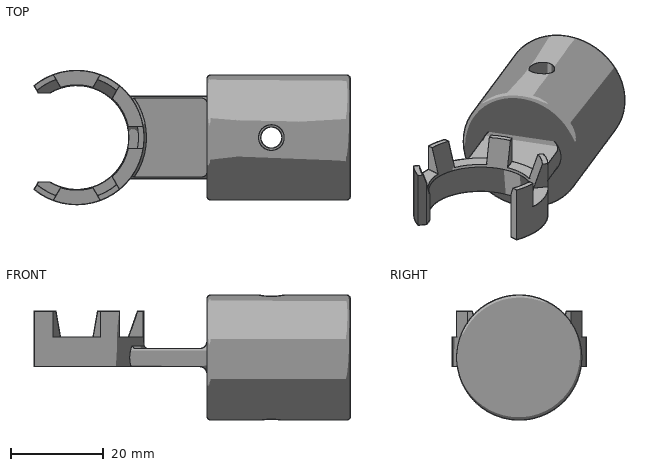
import cadquery as cq
import math

clip_radius = 14.49
clip_bore_radius = 11.2
plate_thickness = 3.95
plate_width = 17.85
plate_side_radius = 5.0
clip_bottom = -plate_thickness / 2
band_height = 6.4
clip_height = 12.0
clip_top = clip_bottom + clip_height

tooth_width = 4.8
tooth_spacing = 60
tooth_tip_inner_radius = 13.3
flare_start_drop = 0.55
mouth_width = 19.1

body_diameter = 27.0
body_length = 30.95
body_start = 28.0
body_edge_radius = 0.9
body_joint_radius = 1.5
clip_joint_size = 0.55

upper_hole_diameter = 5.5
lower_hole_diameter = 4.5
cross_hole_x = body_start + 13.9


def cylinder(radius, bottom, height):
    return cq.Workplane("XY").workplane(offset=bottom).circle(radius).extrude(height)


def make_clip():
    """C-shaped band with five upright teeth; the outermost teeth end the band."""
    band_top = clip_bottom + band_height
    band = cylinder(clip_radius, clip_bottom, band_height)

    teeth = None
    for step in range(-2, 3):
        tooth = (
            cq.Workplane("XY")
            .box(clip_radius, tooth_width, clip_top - band_top, centered=(False, True, False))
            .translate((0, 0, band_top))
            .rotate((0, 0, 0), (0, 0, 1), step * tooth_spacing)
        )
        teeth = tooth if teeth is None else teeth.union(tooth)
    teeth = teeth.intersect(cylinder(clip_radius, band_top, clip_top - band_top))

    flare_start = band_top - flare_start_drop
    flare = (
        cq.Workplane("XZ")
        .moveTo(0, flare_start)
        .lineTo(clip_bore_radius, flare_start)
        .lineTo(tooth_tip_inner_radius, clip_top)
        .lineTo(0, clip_top)
        .close()
        .revolve(360, (0, 0, 0), (0, 1, 0))
    )
    clip = band.union(teeth).cut(flare).cut(cylinder(clip_bore_radius, clip_bottom, clip_height))

    mouth = (
        cq.Workplane("XY")
        .box(2 * clip_radius, mouth_width, clip_height, centered=(False, True, False))
        .translate((-2 * clip_radius, 0, clip_bottom))
    )
    end_angle = math.radians(2 * tooth_spacing)
    side_x = -tooth_width / 2 * math.sin(end_angle)
    side_y = tooth_width / 2 * math.cos(end_angle)
    reach = 2 * clip_radius
    far_x = side_x + reach * math.cos(end_angle)
    far_y = side_y + reach * math.sin(end_angle)
    apex_x = side_x - side_y / math.tan(end_angle)
    wedge = (
        cq.Workplane("XY")
        .workplane(offset=clip_bottom)
        .polyline([(apex_x, 0), (far_x, far_y), (far_x, -far_y)])
        .close()
        .extrude(clip_height)
    )
    return clip.cut(mouth).cut(wedge)


def make_plate():
    """Flat neck with rounded sides that flares up and down into the body and bevels onto the clip."""
    half_thickness = plate_thickness / 2
    joint_start = body_start - body_joint_radius
    joint_z = half_thickness + body_joint_radius
    arc_inset = body_joint_radius * math.sin(math.radians(45))
    arc_mid = (joint_start + arc_inset, joint_z - arc_inset)
    plate = (
        cq.Workplane("XZ")
        .moveTo(0, half_thickness)
        .lineTo(joint_start, half_thickness)
        .threePointArc(arc_mid, (body_start, joint_z))
        .lineTo(body_start, -joint_z)
        .threePointArc((arc_mid[0], -arc_mid[1]), (joint_start, -half_thickness))
        .lineTo(0, -half_thickness)
        .close()
        .extrude(plate_width / 2, both=True)
    )
    bevel = (
        cq.Workplane("XY")
        .workplane(offset=half_thickness)
        .circle(clip_radius + clip_joint_size)
        .workplane(offset=clip_joint_size)
        .circle(clip_radius)
        .loft()
    )

    side_y = plate_width / 2 - plate_side_radius + math.sqrt(plate_side_radius**2 - joint_z**2)
    section = (
        cq.Workplane("YZ")
        .moveTo(-side_y, -joint_z)
        .lineTo(side_y, -joint_z)
        .threePointArc((plate_width / 2, 0), (side_y, joint_z))
        .lineTo(-side_y, joint_z)
        .threePointArc((-plate_width / 2, 0), (-side_y, -joint_z))
        .close()
        .extrude(body_start)
    )
    clip_opening = cylinder(clip_bore_radius, clip_bottom, clip_height)
    return plate.union(bevel).intersect(section).cut(clip_opening)


def make_body():
    return (
        cq.Workplane("YZ", origin=(body_start, 0, 0))
        .circle(body_diameter / 2)
        .extrude(body_length)
        .faces("<X or >X")
        .edges()
        .fillet(body_edge_radius)
    )


def cross_hole():
    """Vertical through hole, wider above the body axis than below it."""
    body_radius = body_diameter / 2
    upper = cylinder(upper_hole_diameter / 2, 0, body_radius)
    lower = cylinder(lower_hole_diameter / 2, -body_radius, body_radius)
    return upper.union(lower).translate((cross_hole_x, 0, 0))


result = make_body().union(make_plate()).union(make_clip()).cut(cross_hole())